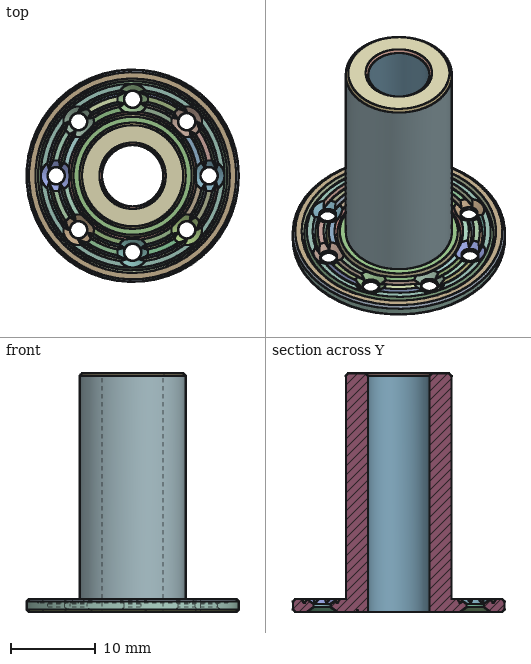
import cadquery as cq

total_height = 28.12
flange_diameter = 25.0
flange_thickness = 1.57
tube_diameter = 12.5
bore_diameter = 7.2
edge_chamfer = 0.3

groove_count = 4
inner_groove_radius = 7.25
groove_pitch = 1.3
groove_width = 0.62
groove_depth = 0.5

hole_count = 8
hole_circle_radius = 9.0
hole_diameter = 2.0
countersink_diameter = 3.6
throat_length = 0.4


def flanged_tube():
    """Solid flange and tube with every outer rim chamfered."""
    flange = cq.Workplane("XY").circle(flange_diameter / 2).extrude(flange_thickness)
    flange = flange.edges().chamfer(edge_chamfer)
    tube = cq.Workplane("XY").circle(tube_diameter / 2).extrude(total_height)
    tube = tube.faces(">Z").edges().chamfer(edge_chamfer)
    return flange.union(tube)


def bore():
    """Through bore, widened by a chamfer at its top end."""
    bore_radius = bore_diameter / 2
    mouth_radius = bore_radius + edge_chamfer
    profile = cq.Workplane("XZ").polyline([
        (0, 0),
        (bore_radius, 0),
        (bore_radius, total_height - edge_chamfer),
        (mouth_radius, total_height),
        (0, total_height),
    ]).close()
    return profile.revolve(360, (0, 0), (0, 1))


def v_groove(radius):
    """Ring-shaped V-groove centred on the given radius."""
    profile = cq.Workplane("XZ").polyline([
        (radius - groove_width / 2, flange_thickness),
        (radius, flange_thickness - groove_depth),
        (radius + groove_width / 2, flange_thickness),
    ]).close()
    return profile.revolve(360, (0, 0), (0, 1))


def cut_countersunk_holes(body):
    """Cut the evenly spaced holes and the conical countersinks at both ends."""
    hole_radius = hole_diameter / 2
    countersink_radius = countersink_diameter / 2
    throat_bottom = (flange_thickness - throat_length) / 2
    throat_top = throat_bottom + throat_length
    cutter = cq.Workplane("XZ").polyline([
        (0, 0),
        (countersink_radius, 0),
        (hole_radius, throat_bottom),
        (hole_radius, throat_top),
        (countersink_radius, flange_thickness),
        (0, flange_thickness),
    ]).close().revolve(360, (0, 0), (0, 1))
    for index in range(hole_count):
        angle = index * 360 / hole_count
        placed = cutter.translate((hole_circle_radius, 0, 0))
        body = body.cut(placed.rotate((0, 0, 0), (0, 0, 1), angle))
    return body


body = flanged_tube().cut(bore())
for index in range(groove_count):
    body = body.cut(v_groove(inner_groove_radius + index * groove_pitch))
result = cut_countersunk_holes(body)